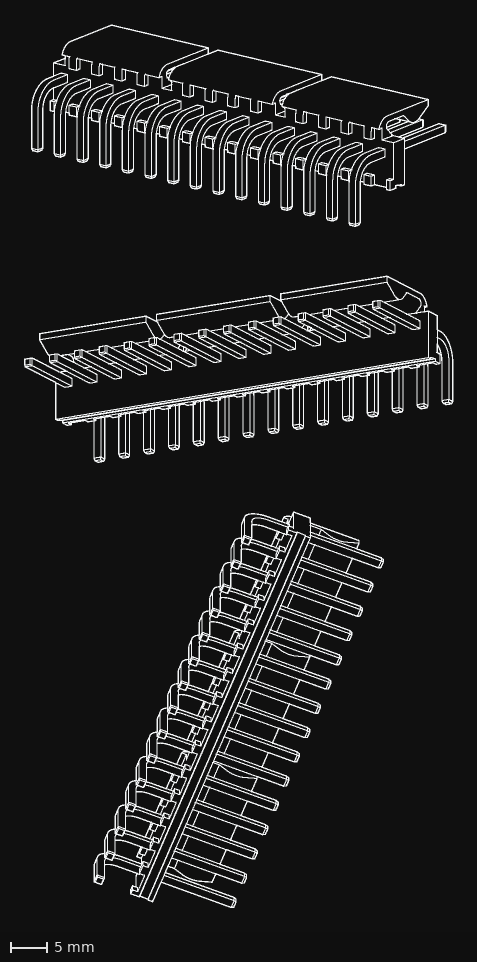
import cadquery as cq
import math


bar_length = 59.25
bar_depth = 2.5
bar_top = 1.8
bar_bottom = -5.0
groove_front = 0.55
groove_back = 1.8
groove_height = 0.25
groove_front_height = 0.35

pin_count = 15
pin_pitch = bar_length / pin_count
pin_row_offset = -0.05
pin_size = 1.1
pin_front = -6.75
pin_back = 14.0
pin_bottom = -9.0
bend_outer_radius = 3.55
tip_length = 0.35
tip_inset = 0.1

nib_width = 1.3
nib_reach = 0.75
lower_nib_height = 1.4

flap_row_length = 55.2
flap_gap = 1.65
gap_pins = (5, 10)
flap_top = 5.0
flap_back = 10.55
flap_thickness = 0.9
lip_drop = 1.5
shoulder_radius = 2.0
throat_radius = 0.6
hook_depth = 3.0
hook_peak = 7.2
hook_front = 4.9
hook_radius = 2.0

shoulder_y = shoulder_radius - nib_reach
shoulder_z = flap_top - shoulder_radius
lip_z = flap_top - lip_drop
lip_angle = math.asin((lip_z - shoulder_z) / shoulder_radius)


def shoulder_point(angle):
    """Point (y, z) on the shoulder arc, at an angle above the -Y direction."""
    return (
        shoulder_y - shoulder_radius * math.cos(angle),
        shoulder_z + shoulder_radius * math.sin(angle),
    )


def extrude_along_x(outline, start, length):
    return outline.extrude(length).translate((start, 0, 0))


def yz_sketch(y, z):
    return cq.Workplane("YZ").moveTo(y, z)


def pin_x(number):
    """X of a pin place, counted from 1 at the -X end; halves give the middles between pins."""
    return (number - (pin_count + 1) / 2) * pin_pitch


def make_bar():
    outline = (
        yz_sketch(0, bar_top)
        .lineTo(bar_depth, bar_top)
        .lineTo(bar_depth, bar_bottom)
        .lineTo(groove_back, bar_bottom)
        .lineTo(groove_back, bar_bottom + groove_height)
        .lineTo(groove_front, bar_bottom + groove_front_height)
        .lineTo(groove_front, bar_bottom)
        .lineTo(0, bar_bottom)
        .close()
    )
    return extrude_along_x(outline, -bar_length / 2, bar_length)


def make_lower_nib(x):
    """Nib at the foot of the bar, cut off flush where it would pass a bar end."""
    start = max(x - nib_width / 2, -bar_length / 2)
    end = min(x + nib_width / 2, bar_length / 2)
    depth = nib_reach + groove_front
    nib = cq.Workplane("XY").box(end - start, depth, lower_nib_height, centered=False)
    return nib.translate((start, -nib_reach, bar_bottom))


def make_upper_nib(x):
    """Nib below the flap lip, its top following the shoulder arc."""
    outline = (
        yz_sketch(0, bar_top)
        .lineTo(-nib_reach, bar_top)
        .lineTo(*shoulder_point(0))
        .threePointArc(shoulder_point(lip_angle / 2), shoulder_point(lip_angle))
        .lineTo(0, lip_z)
        .close()
    )
    return extrude_along_x(outline, x - nib_width / 2, nib_width)


def make_flap(start, end):
    """Flap with a hooked tip, rising from the bar top and bending back over the pins."""
    underside = flap_top - flap_thickness
    throat_y = bar_depth - (underside - bar_top)
    hook_z = flap_top - hook_depth
    outline = (
        yz_sketch(0, bar_top)
        .lineTo(0, lip_z)
        .lineTo(*shoulder_point(lip_angle))
        .threePointArc(shoulder_point((lip_angle + math.pi / 2) / 2), shoulder_point(math.pi / 2))
        .lineTo(flap_back, flap_top)
        .lineTo(flap_back, underside)
        .lineTo(hook_peak, hook_z)
        .lineTo(hook_front, underside)
        .lineTo(throat_y, underside)
        .lineTo(bar_depth, bar_top)
        .close()
    )
    flap = extrude_along_x(outline, start, end - start)
    middle = (start + end) / 2
    flap = flap.edges(cq.NearestToPointSelector((middle, throat_y, underside))).fillet(throat_radius)
    return flap.edges(cq.NearestToPointSelector((middle, hook_peak, hook_z))).fillet(hook_radius)


def make_pin(x):
    """Square pin bent down at the front, with both tips tapered."""
    half = pin_size / 2
    inner_radius = bend_outer_radius - pin_size
    bend_y = pin_front + bend_outer_radius
    bend_z = half - bend_outer_radius
    diagonal = math.sqrt(0.5)
    leg_back = pin_front + pin_size
    outline = (
        yz_sketch(pin_back - tip_length, half)
        .lineTo(bend_y, half)
        .threePointArc(
            (bend_y - bend_outer_radius * diagonal, bend_z + bend_outer_radius * diagonal),
            (pin_front, bend_z),
        )
        .lineTo(pin_front, pin_bottom + tip_length)
        .lineTo(leg_back, pin_bottom + tip_length)
        .lineTo(leg_back, bend_z)
        .threePointArc(
            (bend_y - inner_radius * diagonal, bend_z + inner_radius * diagonal),
            (bend_y, -half),
        )
        .lineTo(pin_back - tip_length, -half)
        .close()
    )
    tip_size = pin_size - 2 * tip_inset
    pin = extrude_along_x(outline, -half, pin_size)
    for face in (">Y", "<Z"):
        tip = (
            pin.faces(face)
            .workplane(centerOption="CenterOfMass")
            .rect(pin_size, pin_size)
            .workplane(offset=tip_length)
            .rect(tip_size, tip_size)
            .loft(combine=False)
        )
        pin = pin.union(tip)
    return pin.translate((x, 0, 0))


result = make_bar()

for gap in range(pin_count + 1):
    result = result.union(make_lower_nib(pin_x(gap + 0.5)))

flap_starts = [-flap_row_length / 2]
flap_ends = []
for gap in gap_pins:
    flap_ends.append(pin_x(gap + 0.5) - flap_gap / 2)
    flap_starts.append(pin_x(gap + 0.5) + flap_gap / 2)
flap_ends.append(flap_row_length / 2)
for flap_start, flap_end in zip(flap_starts, flap_ends):
    result = result.union(make_flap(flap_start, flap_end))

for gap in range(1, pin_count):
    if gap not in gap_pins:
        result = result.union(make_upper_nib(pin_x(gap + 0.5)))

for pin_number in range(1, pin_count + 1):
    result = result.union(make_pin(pin_x(pin_number) + pin_row_offset))